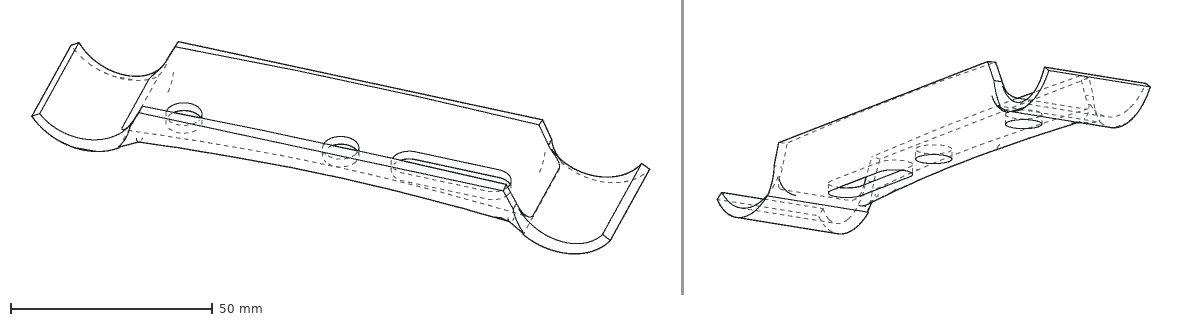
import cadquery as cq
import math

length = 151.98
width = 30.0
height = 16.59
sheet = 2.5

cradle_x = 62.6
cradle_outer_radius = 16.0
cradle_inner_radius = cradle_outer_radius - sheet
cradle_drop = 3.15
cradle_z = cradle_outer_radius - cradle_drop
lip_angle = math.asin((length / 2 - cradle_x) / cradle_outer_radius)
root_angle = math.acos(cradle_z / cradle_outer_radius)

edge_bevel = 2.1
bevel_root_angle = math.radians(38)
bevel_minimum = 0.02
bevel_overrun = 0.2
bevel_steps = 4

middle_lean = math.radians(21.5)
bend_inner_radius = 2.5
bend_outer_radius = bend_inner_radius + sheet
flange_tip_z = height - cradle_drop - sheet * math.sin(middle_lean)
flange_end_angle = math.radians(65)

bend_end_x = 48.8
corner_outer_radius = 0.1
root_overlap = 1.5
floor_end_x = cradle_x - cradle_outer_radius * math.sin(root_angle)
channel_end_x = floor_end_x + root_overlap
station_shares = (-1, -0.5, 0, 0.5, 1)

hole_diameter = 9.0
hole_positions = (-41.2, 0.0)
slot_start_x = 18.0
slot_end_x = 40.0

clearance = 1.0


def flange_lean(x):
    """Outward lean of the flange from vertical at station x."""
    return middle_lean * (1 - (x / channel_end_x) ** 2)


def bend_points(face_y, face_z, floor_z, radius, lean):
    """Start, middle and end of a bend that joins the floor to a leaning face."""
    corner_y = face_y - (face_z - floor_z) * math.tan(lean)
    turn = math.pi / 2 - lean
    start_y = corner_y - radius * math.tan(turn / 2)

    def on_bend(angle):
        return start_y + radius * math.sin(angle), floor_z + radius * (1 - math.cos(angle))

    return on_bend(0), on_bend(turn / 2), on_bend(turn)


def outer_bend(x, radius):
    """Start, middle and end of the underside bend at station x."""
    return bend_points(width / 2, flange_tip_z, 0, radius, flange_lean(x))


def half_section(x):
    """Closed outline, in the plane at station x, of the +Y half of the channel."""
    lean = flange_lean(x)
    outer_tip = (width / 2, flange_tip_z)
    inner_tip = (
        outer_tip[0] - sheet * math.cos(lean),
        outer_tip[1] + sheet * math.sin(lean),
    )
    outer_start, outer_middle, outer_end = outer_bend(x, bend_outer_radius)
    inner_start, inner_middle, inner_end = bend_points(*inner_tip, sheet, bend_inner_radius, lean)
    outline = (
        cq.Workplane("YZ", origin=(x, 0, 0))
        .moveTo(0, 0)
        .lineTo(*outer_start)
        .threePointArc(outer_middle, outer_end)
        .lineTo(*outer_tip)
        .lineTo(*inner_tip)
        .lineTo(*inner_end)
        .threePointArc(inner_middle, inner_start)
        .lineTo(0, sheet)
        .close()
    )
    return outline.wire().val()


def corner_section(x, radius):
    """Closed outline of the filling that tightens the underside bend to the given radius."""
    bend_start, _, bend_end = outer_bend(x, bend_outer_radius)
    tight_start, tight_middle, tight_end = outer_bend(x, radius)
    outline = (
        cq.Workplane("YZ", origin=(x, 0, 0))
        .moveTo(*bend_start)
        .lineTo(*tight_start)
        .threePointArc(tight_middle, tight_end)
        .lineTo(*bend_end)
        .close()
    )
    return outline.wire().val()


def loft_sections(sections, ruled):
    """Solid through the given outlines, with straight sides between them if ruled."""
    return cq.Workplane(cq.Solid.makeLoft(sections, ruled))


def make_channel():
    """Floor and both flanges, running a little past the cradle roots."""
    half = loft_sections([half_section(share * channel_end_x) for share in station_shares], False)
    corner = loft_sections(
        [
            corner_section(bend_end_x, bend_outer_radius - corner_outer_radius),
            corner_section(floor_end_x, corner_outer_radius),
            corner_section(channel_end_x, corner_outer_radius),
        ],
        True,
    )
    half = half.union(corner).union(corner.mirror("YZ"))
    return half.union(half.mirror("XZ"))


def cradle_point(radius, angle):
    """Point on the +X cradle, angle measured from its lowest line towards the lip."""
    return cradle_x + radius * math.sin(angle), cradle_z - radius * math.cos(angle)


def make_end_clearance():
    """Space above the +X cradle that trims the flange ends: an arc and its tangent."""
    tangent_length = 2 * cradle_inner_radius
    arc_end = cradle_point(cradle_inner_radius, -flange_end_angle)
    tangent_end = (
        arc_end[0] - tangent_length * math.cos(flange_end_angle),
        arc_end[1] + tangent_length * math.sin(flange_end_angle),
    )
    return (
        cq.Workplane("XZ", origin=(0, width, 0))
        .moveTo(*arc_end)
        .threePointArc(
            cradle_point(cradle_inner_radius, 0),
            cradle_point(cradle_inner_radius, flange_end_angle),
        )
        .lineTo(length, tangent_end[1])
        .lineTo(*tangent_end)
        .close()
        .extrude(2 * width)
    )


def bevel_section(angle, inset, depth):
    """Radial outline whose slanted side runs from the inset inner edge to the part's +Y side."""
    plane = cq.Plane(
        origin=(cradle_x, width / 2, cradle_z),
        xDir=(0, 1, 0),
        normal=(-math.cos(angle), 0, -math.sin(angle)),
    )
    inner_edge = (-(1 + bevel_overrun) * inset, cradle_inner_radius - bevel_overrun * depth)
    outer_edge = (bevel_overrun * inset, cradle_inner_radius + (1 + bevel_overrun) * depth)
    inside_radius = cradle_inner_radius - clearance
    corners = (
        inner_edge,
        outer_edge,
        (clearance, outer_edge[1]),
        (clearance, inside_radius),
        (inner_edge[0], inside_radius),
    )
    return cq.Workplane(plane).polyline(corners).close().wire().val()


def make_bevel_run(start, end):
    """Cutter between two (angle, inset, depth) settings of the bevel, blended evenly."""
    sections = []
    for step in range(bevel_steps + 1):
        share = step / bevel_steps
        setting = [first + share * (last - first) for first, last in zip(start, end)]
        sections.append(bevel_section(*setting))
    return loft_sections(sections, False)


def make_edge_bevel():
    """Cutters for the twisted +Y edge of the +X cradle and of the flange end above it."""
    lip = (lip_angle, bevel_minimum, sheet)
    root = (-bevel_root_angle, edge_bevel, sheet)
    flange = (-flange_end_angle, sheet, bevel_minimum)
    return make_bevel_run(root, lip), make_bevel_run(flange, root)


def make_cradle():
    """+X cradle, from the underside of the floor round to its lip."""
    return (
        cq.Workplane("XZ", origin=(0, width / 2, 0))
        .moveTo(*cradle_point(cradle_outer_radius, -root_angle))
        .threePointArc(
            cradle_point(cradle_outer_radius, 0),
            cradle_point(cradle_outer_radius, lip_angle),
        )
        .lineTo(*cradle_point(cradle_inner_radius, lip_angle))
        .threePointArc(
            cradle_point(cradle_inner_radius, 0),
            cradle_point(cradle_inner_radius, -root_angle),
        )
        .close()
        .extrude(width)
    )


def make_openings():
    """Cutters for the round holes and the slot along the middle of the floor."""
    depth = sheet + 2 * clearance
    base = cq.Workplane("XY", origin=(0, 0, -clearance))
    holes = base.pushPoints([(x, 0) for x in hole_positions]).circle(hole_diameter / 2).extrude(depth)
    slot = (
        base.center((slot_start_x + slot_end_x) / 2, 0)
        .slot2D(slot_end_x - slot_start_x + hole_diameter, hole_diameter)
        .extrude(depth)
    )
    return holes.union(slot)


def on_both_ends(body):
    """The +X body and its mirror image at the -X end."""
    return body, body.mirror("YZ")


result = make_channel()
for end in on_both_ends(make_end_clearance()):
    result = result.cut(end)
for end in on_both_ends(make_cradle()):
    result = result.union(end)
for run in make_edge_bevel():
    for bevel in on_both_ends(run):
        result = result.cut(bevel).cut(bevel.mirror("XZ"))
result = result.cut(make_openings())